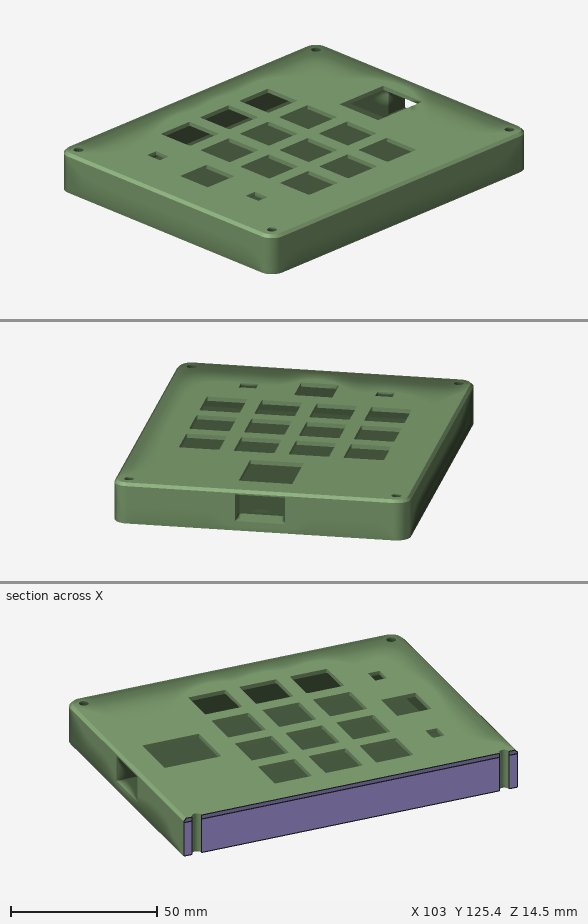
import cadquery as cq

WIDTH = 103.0
LENGTH = 125.4
HEIGHT = 14.5
CORNER_RADIUS = 5.0

LID_THICKNESS = 1.5
LID_CHAMFER = 1.0

TRAY_HEIGHT = HEIGHT - LID_THICKNESS
WALL = 8.0
FLOOR = 1.5
CAVITY_WIDTH = WIDTH - 2 * WALL
CAVITY_LENGTH = LENGTH - 2 * WALL
NOTCH_WIDTH = 17.3
NOTCH_SILL = 3.4

SCREW_DIAMETER = 3.4
SCREW_SPACING_X = WIDTH - 2 * CORNER_RADIUS
SCREW_SPACING_Y = LENGTH - 2 * CORNER_RADIUS

KEY_COLUMNS = 4
KEY_ROWS = 3
KEY_PITCH = 19.0
KEY_SIZE = 14.0
KEY_CORNER_RADIUS = 0.5
KEY_CENTRE_Y = -2.6

DISPLAY_WIDTH = 18.5
DISPLAY_LENGTH = 21.3
DISPLAY_CENTRE_Y = 42.1

CONTROL_CENTRE_Y = -42.1
KNOB_WIDTH = 13.3
KNOB_LENGTH = 12.9
SIDE_OPENING_WIDTH = 6.0
SIDE_OPENING_LENGTH = 4.4
SIDE_OPENING_SPACING = 47.4


def rounded_block(height):
    """Block with the outer outline, standing on Z = 0."""
    block = cq.Workplane("XY").rect(WIDTH, LENGTH).extrude(height)
    return block.edges("|Z").fillet(CORNER_RADIUS)


def screw_holes():
    """Four cylinders through the full height."""
    centres = cq.Workplane("XY").rect(SCREW_SPACING_X, SCREW_SPACING_Y, forConstruction=True).vertices()
    return centres.circle(SCREW_DIAMETER / 2).extrude(HEIGHT)


def key_openings():
    """Grid of square cutters with rounded corners."""
    grid = cq.Workplane("XY").center(0, KEY_CENTRE_Y).rarray(KEY_PITCH, KEY_PITCH, KEY_COLUMNS, KEY_ROWS)
    return grid.rect(KEY_SIZE, KEY_SIZE).extrude(HEIGHT).edges("|Z").fillet(KEY_CORNER_RADIUS)


def rectangular_opening(x, y, width, length):
    """Sharp-cornered cutter through the full height."""
    return cq.Workplane("XY").center(x, y).rect(width, length).extrude(HEIGHT)


def make_housing():
    """Open tray with a thick wall and a connector notch through its +Y wall."""
    housing = rounded_block(TRAY_HEIGHT)
    cavity = cq.Workplane("XY").workplane(offset=FLOOR).rect(CAVITY_WIDTH, CAVITY_LENGTH).extrude(TRAY_HEIGHT)
    notch = (
        cq.Workplane("XY")
        .workplane(offset=NOTCH_SILL)
        .center(0, (LENGTH - WALL) / 2)
        .rect(NOTCH_WIDTH, WALL)
        .extrude(TRAY_HEIGHT)
    )
    return housing.cut(cavity).cut(notch).cut(screw_holes())


def make_lid():
    """Chamfered cover plate with openings for the keys, display and controls."""
    lid = rounded_block(LID_THICKNESS).faces(">Z").edges().chamfer(LID_CHAMFER)
    lid = lid.translate((0, 0, TRAY_HEIGHT))
    lid = lid.cut(screw_holes()).cut(key_openings())
    lid = lid.cut(rectangular_opening(0, DISPLAY_CENTRE_Y, DISPLAY_WIDTH, DISPLAY_LENGTH))
    lid = lid.cut(rectangular_opening(0, CONTROL_CENTRE_Y, KNOB_WIDTH, KNOB_LENGTH))
    for side in (-1, 1):
        x = side * SIDE_OPENING_SPACING / 2
        lid = lid.cut(rectangular_opening(x, CONTROL_CENTRE_Y, SIDE_OPENING_WIDTH, SIDE_OPENING_LENGTH))
    return lid


housing = make_housing()
lid = make_lid()
result = cq.Compound.makeCompound([housing.val(), lid.val()])